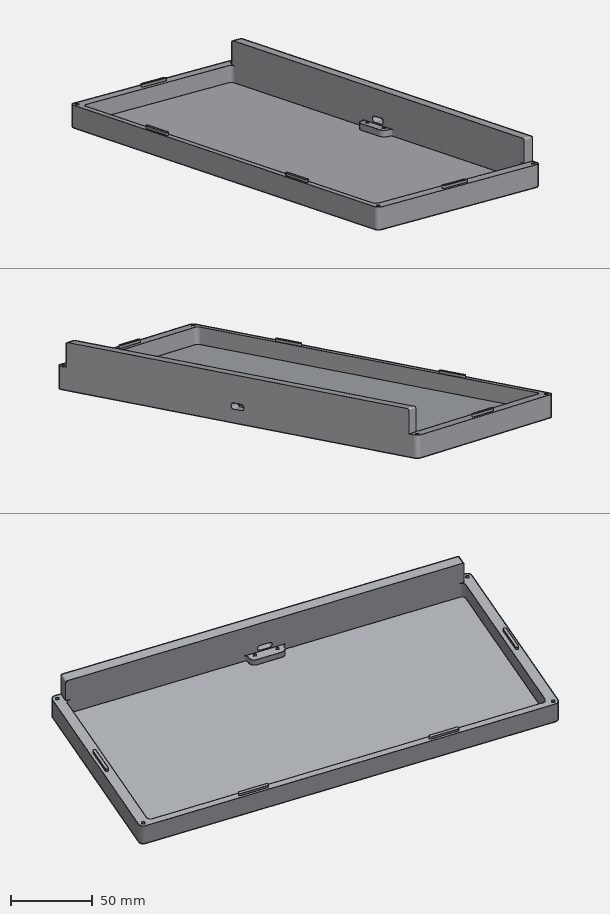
import cadquery as cq

length = 281.2
width = 133.3
total_height = 30.6

rim_height = 15.0
floor_thickness = 4.0
side_wall = 7.0
front_wall = 4.2
rear_wall = 7.0
corner_radius = 3.0
cavity_radius = 2.8
bottom_fillet = 0.8

cavity_length = length - 2 * side_wall
cavity_front = -width / 2 + front_wall
cavity_rear = width / 2 - rear_wall
cavity_width = cavity_rear - cavity_front
cavity_center_y = (cavity_front + cavity_rear) / 2

panel_height = total_height - rim_height
panel_end_fillet = 1.5

tongue_length = 20.0
tongue_thickness = 2.0
tongue_height = 1.7
front_tongue_x = 63.8
front_tongue_inset = 2.5
side_tongue_inset = 3.0
side_tongue_y = -0.8

screw_inset = 3.0
screw_hole_diameter = 2.2
screw_head_diameter = 4.0
screw_seat_thickness = 2.2

block_length = 24.2
block_depth = 6.2
block_height = 4.2
block_corner_radius = 3.7
block_flare_radius = 1.7
block_hole_diameter = 2.0
block_hole_spacing = 15.2
block_hole_inset = 2.0

slot_length = 9.8
slot_height = 4.0
slot_z = 11.0


def make_tray():
    body = (
        cq.Workplane("XY")
        .box(length, width, rim_height, centered=(True, True, False))
        .edges("|Z").fillet(corner_radius)
        .faces("<Z").edges().fillet(bottom_fillet)
    )
    cavity = (
        cq.Workplane("XY", origin=(0, cavity_center_y, floor_thickness))
        .box(cavity_length, cavity_width, rim_height, centered=(True, True, False))
        .edges("|Z").fillet(cavity_radius)
    )
    return body.cut(cavity)


def make_rear_panel():
    center_y = cavity_rear + rear_wall / 2
    return (
        cq.Workplane("XY", origin=(0, center_y, rim_height))
        .box(cavity_length, rear_wall, panel_height, centered=(True, True, False))
        .faces(">Z").edges("|Y").fillet(panel_end_fillet)
    )


def make_tongue(x, y, angle):
    return (
        cq.Workplane("XY", origin=(x, y, rim_height))
        .slot2D(tongue_length, tongue_thickness, angle)
        .extrude(tongue_height)
    )


def make_block():
    half_length = block_length / 2
    front_y = cavity_rear - block_depth
    flare_y = cavity_rear - block_flare_radius
    flare_x = half_length + block_flare_radius
    corner_y = front_y + block_corner_radius
    corner_x = half_length - block_corner_radius
    block = (
        cq.Workplane("XY", origin=(0, 0, floor_thickness))
        .moveTo(-flare_x, cavity_rear)
        .radiusArc((-half_length, flare_y), block_flare_radius)
        .lineTo(-half_length, corner_y)
        .radiusArc((-corner_x, front_y), -block_corner_radius)
        .lineTo(corner_x, front_y)
        .radiusArc((half_length, corner_y), -block_corner_radius)
        .lineTo(half_length, flare_y)
        .radiusArc((flare_x, cavity_rear), block_flare_radius)
        .close()
        .extrude(block_height)
    )
    hole_x = block_hole_spacing / 2
    holes = (
        cq.Workplane("XY", origin=(0, cavity_rear - block_hole_inset, floor_thickness))
        .pushPoints([(-hole_x, 0), (hole_x, 0)])
        .circle(block_hole_diameter / 2)
        .extrude(block_height)
    )
    return block.cut(holes)


def make_cable_slot():
    return (
        cq.Workplane("XZ", origin=(0, width / 2, slot_z))
        .slot2D(slot_length, slot_height)
        .extrude(rear_wall)
    )


def make_corner_bores(diameter, depth):
    return (
        cq.Workplane("XY")
        .rect(length - 2 * screw_inset, width - 2 * screw_inset, forConstruction=True)
        .vertices()
        .circle(diameter / 2)
        .extrude(depth)
    )


result = make_tray().union(make_rear_panel()).union(make_block()).cut(make_cable_slot())

front_tongue_y = -width / 2 + front_tongue_inset
side_tongue_x = length / 2 - side_tongue_inset
for side in (-1, 1):
    result = result.union(make_tongue(side * front_tongue_x, front_tongue_y, 0))
    result = result.union(make_tongue(side * side_tongue_x, side_tongue_y, 90))

result = result.cut(make_corner_bores(screw_hole_diameter, rim_height))
result = result.cut(make_corner_bores(screw_head_diameter, rim_height - screw_seat_thickness))